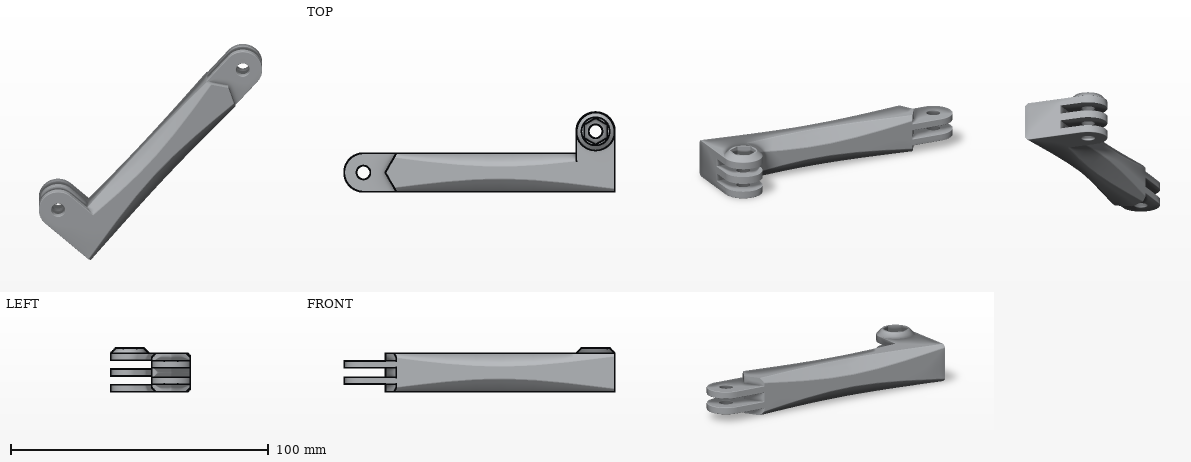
import cadquery as cq
import math

length = 105
width = 15.0
reach = 31.0
mid = width / 2

hole_diameter = 5.2
inner_prong_thickness = 2.7
inner_prong_gap = 3.6
outer_prong_thickness = 2.8
outer_prong_gap = (width - 3 * outer_prong_thickness) / 2
end_hole = (mid, mid)
arm_hole = (length - mid, reach - mid)

point_x = 16.0
shoulder_x = point_x + mid * math.tan(math.radians(30))

bevel_waist = 5.0
bevel_end = 1.2
waist_x = (point_x + length) / 2
bevel_slope = 0.125
bevel_edge_radius = 0.5

boss_height = 2.0
boss_diameter = 14.9
boss_top_diameter = boss_diameter - 2 * boss_height
nut_flats = 8.9
nut_depth = 3.9

rim_radius = 0.2


def bevel_cutter():
    """Solid outside the bevel of the front top edge, with rulings at 45 degrees to the faces."""
    across = 1 / math.sqrt(2)
    slope = bevel_slope * across
    first = (point_x, bevel_end * across)
    waist = (waist_x, bevel_waist * across)
    last = (length, bevel_end * across)
    sweep = 2 * width
    plane = cq.Plane(origin=(0, 0, width), xDir=(1, 0, 0), normal=(0, 1, 1))
    return (
        cq.Workplane(plane)
        .workplane(offset=-sweep / 2)
        .moveTo(point_x, -mid)
        .lineTo(*first)
        .spline([waist, last], tangents=[(1, slope), (1, -slope)], includeCurrent=True)
        .lineTo(length, -mid)
        .close()
        .extrude(sweep)
    )


def waisted_bar():
    """Square bar with a waisted bevel on each long edge and a pointed end."""
    bar = cq.Workplane().box(length - point_x, width, width, centered=False).translate((point_x, 0, 0))
    front_top = bevel_cutter()
    front_bottom = front_top.mirror("XY", (0, 0, mid))
    for cutter in (front_top, front_bottom):
        bar = bar.cut(cutter).cut(cutter.mirror("XZ", (0, mid, 0)))
    bar = bar.edges("%BSPLINE").fillet(bevel_edge_radius)
    outline = [(point_x, mid), (shoulder_x, 0), (length, 0), (length, width), (shoulder_x, width)]
    bar = bar.intersect(cq.Workplane().polyline(outline).close().extrude(width))
    bar = bar.faces(">X").edges().fillet(rim_radius)
    return bar.edges("|Z").edges("<X").fillet(rim_radius)


def end_prongs():
    """Two round-nosed prongs that carry the pin hole at the bar end."""
    plate = cq.Workplane().circle(mid).extrude(inner_prong_thickness).translate((*end_hole, 0))
    tail = cq.Workplane().box(shoulder_x - mid, width, inner_prong_thickness, centered=False)
    plate = plate.union(tail.translate((mid, 0, 0)))
    plate = plate.cut(pin_holes())
    plate = plate.faces("|Z").edges().fillet(rim_radius)
    upper = plate.translate((0, 0, mid + inner_prong_gap / 2))
    lower = plate.translate((0, 0, mid - inner_prong_gap / 2 - inner_prong_thickness))
    return upper.union(lower)


def side_arm():
    """Round-nosed arm, slotted behind the bar into three prongs."""
    arm = cq.Workplane().center(*arm_hole).circle(mid).extrude(width)
    root = cq.Workplane().box(width, arm_hole[1] - mid, width, centered=False)
    arm = arm.union(root.translate((length - width, mid, 0)))
    arm = arm.cut(pin_holes())
    arm = arm.faces("|Z").edges().fillet(rim_radius)
    slot = cq.Workplane().box(width, reach - width, outer_prong_gap, centered=False)
    for level in range(2):
        slot_z = outer_prong_thickness + level * (outer_prong_thickness + outer_prong_gap)
        arm = arm.cut(slot.translate((length - width, width, slot_z)))
    return arm


def nut_boss():
    """Cone frustum on top of the side arm."""
    return (
        cq.Workplane(origin=(*arm_hole, width))
        .circle(boss_diameter / 2)
        .workplane(offset=boss_height)
        .circle(boss_top_diameter / 2)
        .loft(ruled=True)
    )


def nut_pocket():
    """Hexagon pocket with two flats square to X."""
    across_corners = nut_flats / math.cos(math.radians(30))
    top = width + boss_height
    hexagon = cq.Workplane().polygon(6, across_corners).extrude(nut_depth)
    return hexagon.rotate((0, 0, 0), (0, 0, 1), 30).translate((*arm_hole, top - nut_depth))


def pin_holes():
    return (
        cq.Workplane()
        .pushPoints([end_hole, arm_hole])
        .circle(hole_diameter / 2)
        .extrude(width + boss_height)
    )


body = waisted_bar().union(end_prongs()).union(side_arm()).union(nut_boss())
body = body.cut(nut_pocket()).cut(pin_holes())

floor_point = (*arm_hole, width + boss_height - nut_depth)
pocket_floor = body.faces("|Z").faces(cq.selectors.NearestToPointSelector(floor_point))
result = pocket_floor.edges("%CIRCLE").fillet(rim_radius)